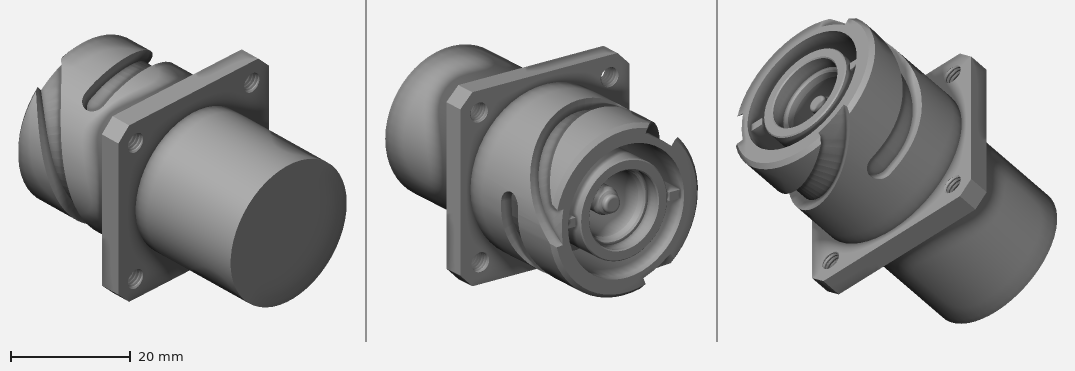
import math

import cadquery as cq

TOTAL_LENGTH = 50.0

FLANGE_FRONT = 23.1
FLANGE_THICKNESS = 4.0
FLANGE_SIDE = 35.0
FLANGE_CHAMFER = 2.5

HOLE_SPACING = 27.0
THREAD_MAJOR_RADIUS = 2.0
THREAD_MINOR_RADIUS = 1.7
THREAD_PITCH = 0.7
THREAD_MOUTH_WIDTH = 0.55
THREAD_OVERLAP = 0.05
THREAD_START_ANGLE = 10.0
ODD_THREAD_TURN = 180.0

SHELL_RADIUS = 15.4
SHELL_CHAMFER = 0.75
REAR_RADIUS = 13.5

SOCKET_RADIUS = 12.0
SOCKET_DEPTH = 15.0
TUBE_FRONT = 0.6
TUBE_RADIUS = 9.05
TUBE_BORE_RADIUS = 7.05
TUBE_CHAMFER = 0.2
STEP_DEPTH = 3.4
STEP_OUTER_RADIUS = 6.55
STEP_MIDDLE_RADIUS = 6.25
STEP_BORE_RADIUS = 6.0
STEP_LEAD_SHORT = 0.3
STEP_LEAD_LONG = 1.1
PIN_FRONT = 3.6
PIN_TIP_RADIUS = 1.1
PIN_NOSE_RADIUS = 0.55
PIN_NECK_LENGTH = 0.5
PIN_STEEP_TAPER_LENGTH = 0.3
PIN_SHOULDER_RADIUS = 2.1
PIN_SHALLOW_TAPER_LENGTH = 0.9
PIN_RADIUS = 2.5

KEY_FRONT = 1.0
KEY_TIP_RADIUS = 9.7
KEY_WIDTH = 1.6

SLOT_COUNT = 3
SLOT_WIDTH = 4.8
SLOT_FLOOR_RADIUS = 13.3
SLOT_CUT_CLEARANCE = 1.5
SLOT_TOP_RADIUS = SHELL_RADIUS + SLOT_CUT_CLEARANCE
SLOT_END_X = 12.0
SLOT_END_ANGLE = 122.8
SLOT_STRAIGHT_LENGTH = 3.5
SLOT_CURVE_RADIUS = 42.0
SLOT_CURVE_SWEEP = 56.0
SLOT_CURVE_STEPS = 26


def cylinder(radius, start_x, end_x):
    return cq.Workplane("YZ").workplane(offset=start_x).circle(radius).extrude(end_x - start_x)


def make_flange():
    plate = (
        cq.Workplane("YZ")
        .workplane(offset=FLANGE_FRONT)
        .rect(FLANGE_SIDE, FLANGE_SIDE)
        .extrude(FLANGE_THICKNESS)
    )
    return plate.edges("|X").chamfer(FLANGE_CHAMFER)


def make_shells():
    front_shell = cylinder(SHELL_RADIUS, 0, FLANGE_FRONT).faces("<X").chamfer(SHELL_CHAMFER)
    rear_shell = cylinder(REAR_RADIUS, FLANGE_FRONT, TOTAL_LENGTH)
    return front_shell.union(rear_shell)


def revolve_profile(profile):
    """Turn a closed half-section, given as (x, radius) in the XY plane, about the X axis."""
    return profile.close().revolve(360, (0, 0, 0), (1, 0, 0))


def make_tube():
    lead_corner_x = STEP_DEPTH + STEP_LEAD_SHORT
    lead_end_x = lead_corner_x + STEP_LEAD_LONG
    return revolve_profile(
        cq.Workplane("XY")
        .moveTo(SOCKET_DEPTH, TUBE_RADIUS)
        .lineTo(TUBE_FRONT + TUBE_CHAMFER, TUBE_RADIUS)
        .lineTo(TUBE_FRONT, TUBE_RADIUS - TUBE_CHAMFER)
        .lineTo(TUBE_FRONT, TUBE_BORE_RADIUS + TUBE_CHAMFER)
        .lineTo(TUBE_FRONT + TUBE_CHAMFER, TUBE_BORE_RADIUS)
        .lineTo(STEP_DEPTH, TUBE_BORE_RADIUS)
        .lineTo(STEP_DEPTH, STEP_OUTER_RADIUS)
        .lineTo(lead_corner_x, STEP_MIDDLE_RADIUS)
        .lineTo(lead_end_x, STEP_BORE_RADIUS)
        .lineTo(SOCKET_DEPTH, STEP_BORE_RADIUS)
    )


def make_pin():
    """Round-nosed tip, a short neck, then two tapers widening to the full pin radius."""
    nose_end_x = PIN_FRONT + PIN_NOSE_RADIUS
    neck_end_x = nose_end_x + PIN_NECK_LENGTH
    steep_end_x = neck_end_x + PIN_STEEP_TAPER_LENGTH
    shallow_end_x = steep_end_x + PIN_SHALLOW_TAPER_LENGTH
    neck_radius = PIN_TIP_RADIUS + PIN_NOSE_RADIUS
    return revolve_profile(
        cq.Workplane("XY")
        .moveTo(SOCKET_DEPTH, 0)
        .lineTo(PIN_FRONT, 0)
        .lineTo(PIN_FRONT, PIN_TIP_RADIUS)
        .radiusArc((nose_end_x, neck_radius), PIN_NOSE_RADIUS)
        .lineTo(neck_end_x, neck_radius)
        .lineTo(steep_end_x, PIN_SHOULDER_RADIUS)
        .lineTo(shallow_end_x, PIN_RADIUS)
        .lineTo(SOCKET_DEPTH, PIN_RADIUS)
    )


def make_keys():
    keys = (
        cq.Workplane("YZ")
        .workplane(offset=KEY_FRONT)
        .rect(2 * SHELL_RADIUS, KEY_WIDTH)
        .extrude(SOCKET_DEPTH - KEY_FRONT)
    )
    keys = keys.intersect(cylinder(SOCKET_RADIUS, KEY_FRONT, SOCKET_DEPTH))
    return keys.cut(cylinder(KEY_TIP_RADIUS, KEY_FRONT, SOCKET_DEPTH))


def slot_section(x, arc_length, heading):
    """Rectangle across the slot, arc_length back from its closed end around the shell."""
    angle = math.radians(SLOT_END_ANGLE) - arc_length / SHELL_RADIUS
    radial = cq.Vector(0, math.cos(angle), math.sin(angle))
    tangent = cq.Vector(0, -math.sin(angle), math.cos(angle))
    across = cq.Vector(math.cos(heading), 0, 0) - tangent * math.sin(heading)
    centre = cq.Vector(x, 0, 0)
    half_width = across * (SLOT_WIDTH / 2)
    floor = centre + radial * SLOT_FLOOR_RADIUS
    top = centre + radial * SLOT_TOP_RADIUS
    corners = [floor - half_width, floor + half_width, top + half_width, top - half_width]
    return cq.Wire.makePolygon(corners, close=True)


def make_slot_cutter():
    """A straight end run around the shell, then an arc that leaves through the mating face."""
    sections = [slot_section(SLOT_END_X, 0, 0)]
    for step in range(SLOT_CURVE_STEPS + 1):
        heading = math.radians(SLOT_CURVE_SWEEP) * step / SLOT_CURVE_STEPS
        x = SLOT_END_X - SLOT_CURVE_RADIUS * (1 - math.cos(heading))
        arc_length = SLOT_STRAIGHT_LENGTH + SLOT_CURVE_RADIUS * math.sin(heading)
        sections.append(slot_section(x, arc_length, heading))
    channel = cq.Workplane(cq.Solid.makeLoft(sections, True))

    end_angle = math.radians(SLOT_END_ANGLE)
    outward = cq.Vector(0, math.cos(end_angle), math.sin(end_angle))
    round_end = cq.Solid.makeCylinder(
        SLOT_WIDTH / 2,
        SLOT_TOP_RADIUS - SLOT_FLOOR_RADIUS,
        cq.Vector(SLOT_END_X, 0, 0) + outward * SLOT_FLOOR_RADIUS,
        outward,
    )
    return channel.union(cq.Workplane(round_end))


def make_thread_cutter():
    """Plain bore joined with a helical V groove, standing on the origin along +Z."""
    length = FLANGE_THICKNESS + 2 * THREAD_PITCH
    bore = cq.Workplane("XY").circle(THREAD_MINOR_RADIUS).extrude(length)
    helix = cq.Wire.makeHelix(THREAD_PITCH, length, THREAD_MINOR_RADIUS)
    base_radius = THREAD_MINOR_RADIUS - THREAD_OVERLAP
    groove = (
        cq.Workplane("XZ")
        .moveTo(base_radius, -THREAD_MOUTH_WIDTH / 2)
        .lineTo(THREAD_MAJOR_RADIUS, 0)
        .lineTo(base_radius, THREAD_MOUTH_WIDTH / 2)
        .close()
        .sweep(cq.Workplane(helix), isFrenet=True)
    )
    return bore.union(groove)


def cut_threaded_holes(body):
    """Each thread starts at an angle turned from +Y toward +Z; one hole starts half a turn off."""
    cutter = make_thread_cutter().rotate((0, 0, 0), (0, 1, 0), 90).rotate((0, 0, 0), (1, 0, 0), 90)
    start_x = FLANGE_FRONT - THREAD_PITCH
    for side_y in (-1, 1):
        for side_z in (-1, 1):
            is_odd_hole = side_y > 0 > side_z
            start_angle = THREAD_START_ANGLE + (ODD_THREAD_TURN if is_odd_hole else 0)
            thread = cutter.rotate((0, 0, 0), (1, 0, 0), start_angle)
            hole_centre = (start_x, side_y * HOLE_SPACING / 2, side_z * HOLE_SPACING / 2)
            body = body.cut(thread.translate(hole_centre))
    return body


def cut_bayonet_slots(body):
    cutter = make_slot_cutter()
    for index in range(SLOT_COUNT):
        body = body.cut(cutter.rotate((0, 0, 0), (1, 0, 0), index * 360 / SLOT_COUNT))
    return body


body = make_shells().union(make_flange())
body = body.cut(cylinder(SOCKET_RADIUS, 0, SOCKET_DEPTH))
for insert in (make_tube(), make_pin(), make_keys()):
    body = body.union(insert)
body = cut_bayonet_slots(body)
result = cut_threaded_holes(body)